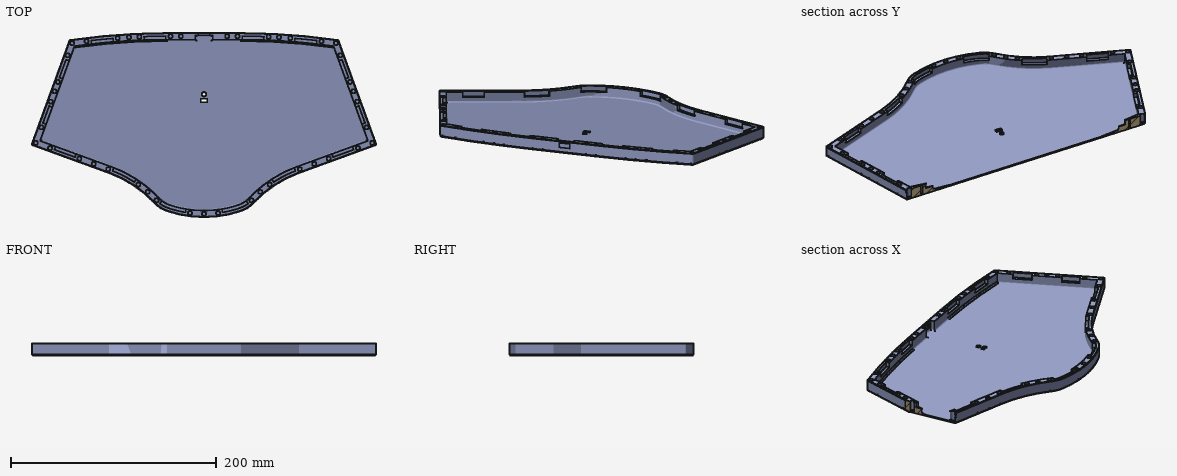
import cadquery as cq
import math

length_x = 334.85
length_y = 179.39
height = 12.26

back_y = length_y / 2
front_y = -length_y / 2
wing_angle = math.radians(20)
corner_radius = 1.5
wing_corner_y = -19.2
back_flat_half = 36.0
back_radius = 645.0
nose_radius = 111.0
nose_half = 36.0
shoulder_radius = 30.0
flank_radius = 114.0

wall_width = 6.5
floor_thickness = 2.0
floor_fillet = 1.5
bottom_chamfer = 1.5
top_chamfer = 0.5
overcut = 1.0

hole_diameter = 4.1
hole_depth = height - floor_thickness
hole_inset = wall_width / 2
pocket_inset = 3.2
pocket_depth = 5.0
pocket_gap = 4.5
back_pocket_holes = [(32.6, 62.9), (84.1, 114.5)]
back_single_holes = [22.5, 73.0]
side_pocket_holes = [(12.6, 40.2), (60.6, 87.2)]
side_single_holes = [49.9]
wing_pocket_holes = [(14.8, 45.1), (75.0, 108.0)]
wing_single_holes = [60.0, 119.6]
nose_pocket_holes = (13.7, 49.2)

notch_width = 16.8
notch_inset = 2.2
recess_width = 11.0
recess_depth = 1.6
recess_bottom = 5.6
recess_top = 10.2

round_opening_y = 30.0
slot_opening_y = 24.0
slot_opening_width = 6.0
slot_opening_height = 3.2

corner_setback = corner_radius * (math.cos(wing_angle) + math.sin(wing_angle) - 1)
wing_corner_x = length_x / 2 + corner_setback


def polar(centre, radius, angle):
    return (centre[0] + radius * math.cos(angle), centre[1] + radius * math.sin(angle))


def line(start, end):
    return cq.Edge.makeLine(cq.Vector(*start), cq.Vector(*end))


def arc(start, middle, end):
    return cq.Edge.makeThreePointArc(cq.Vector(*start), cq.Vector(*middle), cq.Vector(*end))


def half_outline(inset):
    """Edges of the right half of the outline, moved inwards by inset, grouped by wall."""
    side_normal = (math.cos(wing_angle), math.sin(wing_angle))
    wing_normal = (math.sin(wing_angle), -math.cos(wing_angle))
    wing_corner = (
        wing_corner_x - inset * (side_normal[0] + wing_normal[0]),
        wing_corner_y - inset * (side_normal[1] + wing_normal[1]),
    )

    back_centre = (back_flat_half, back_y - back_radius)
    back_r = back_radius - inset
    to_side = (wing_corner[0] - back_centre[0]) * side_normal[0]
    to_side += (wing_corner[1] - back_centre[1]) * side_normal[1]
    back_angle = wing_angle + math.acos(to_side / back_r)
    back_start = (back_flat_half, back_y - inset)
    back_middle = polar(back_centre, back_r, (math.pi / 2 + back_angle) / 2)
    back_corner = polar(back_centre, back_r, back_angle)

    nose_centre = (0, front_y + nose_radius)
    nose_angle = -math.pi / 2 + math.asin(nose_half / nose_radius)
    shoulder_centre = polar(nose_centre, nose_radius - shoulder_radius, nose_angle)

    reach = (shoulder_centre[0] - wing_corner_x) * wing_normal[0]
    reach += (shoulder_centre[1] - wing_corner_y) * wing_normal[1]
    across = flank_radius - reach
    along = math.sqrt((flank_radius + shoulder_radius) ** 2 - across ** 2)
    flank_centre = (
        shoulder_centre[0] + across * wing_normal[0] + along * math.cos(wing_angle),
        shoulder_centre[1] + across * wing_normal[1] + along * math.sin(wing_angle),
    )
    flank_start = wing_angle + math.pi / 2
    flank_end = math.atan2(shoulder_centre[1] - flank_centre[1], shoulder_centre[0] - flank_centre[0])
    flank_end %= 2 * math.pi

    flank_r = flank_radius + inset
    shoulder_r = shoulder_radius - inset
    nose_r = nose_radius - inset
    flank_first = polar(flank_centre, flank_r, flank_start)
    flank_middle = polar(flank_centre, flank_r, (flank_start + flank_end) / 2)
    flank_last = polar(flank_centre, flank_r, flank_end)
    shoulder_middle = polar(shoulder_centre, shoulder_r, (flank_end - math.pi + nose_angle) / 2)
    nose_first = polar(nose_centre, nose_r, nose_angle)
    nose_middle = polar(nose_centre, nose_r, (nose_angle - math.pi / 2) / 2)
    return {
        "back": [
            line((0, back_y - inset), back_start),
            arc(back_start, back_middle, back_corner),
        ],
        "side": [line(back_corner, wing_corner)],
        "front": [
            line(wing_corner, flank_first),
            arc(flank_first, flank_middle, flank_last),
            arc(flank_last, shoulder_middle, nose_first),
            arc(nose_first, nose_middle, (0, front_y + inset)),
        ],
    }


def outline_prism(inset, bottom, top):
    """Solid with the outline moved inwards by inset, between two heights."""
    walls = half_outline(inset)
    right = walls["back"] + walls["side"] + walls["front"]
    left = [edge.mirror("YZ") for edge in right]
    wire = cq.Wire.assembleEdges(right + left[::-1])
    solid = cq.Solid.extrudeLinear(wire, [], cq.Vector(0, 0, top - bottom))
    return cq.Workplane(obj=solid.translate(cq.Vector(0, 0, bottom)))


def make_blank():
    """Solid tray body with rounded vertical corners and chamfered rims."""
    blank = outline_prism(0, 0, height)
    side_edge = half_outline(0)["side"][0]
    for corner in (side_edge.startPoint(), side_edge.endPoint()):
        for x in (corner.x, -corner.x):
            near = cq.selectors.NearestToPointSelector((x, corner.y, height / 2))
            blank = blank.edges("|Z").edges(near).fillet(corner_radius)
    blank = blank.faces("<Z").chamfer(bottom_chamfer)
    return blank.faces(">Z").chamfer(top_chamfer)


def make_cavity():
    """Inside of the tray, including the notch, rounded along the floor."""
    cavity = outline_prism(wall_width, floor_thickness, height + overcut)
    notch_length = 2 * wall_width
    notch = (
        cq.Workplane("XY", origin=(0, back_y - notch_inset - notch_length / 2, floor_thickness))
        .rect(notch_width, notch_length)
        .extrude(height + overcut - floor_thickness)
    )
    return cavity.union(notch).faces("<Z").edges().fillet(floor_fillet)


def make_recess():
    return (
        cq.Workplane("XY", origin=(0, back_y - notch_inset, recess_bottom))
        .rect(recess_width, 2 * recess_depth)
        .extrude(recess_top - recess_bottom)
    )


def make_floor_openings():
    round_opening = (
        cq.Workplane("XY")
        .center(0, round_opening_y)
        .circle(hole_diameter / 2)
        .extrude(floor_thickness)
    )
    slot_opening = (
        cq.Workplane("XY")
        .center(0, slot_opening_y)
        .rect(slot_opening_width, slot_opening_height)
        .extrude(floor_thickness)
    )
    return round_opening.add(slot_opening).combine()


hole_paths = {wall: cq.Wire.assembleEdges(edges) for wall, edges in half_outline(hole_inset).items()}
side_length = hole_paths["side"].Length()
front_length = hole_paths["front"].Length()
pocket_zone = outline_prism(pocket_inset, height - pocket_depth, height + overcut)


def station(wall, distance):
    """Point and normal on the hole line of a wall."""
    path = hole_paths[wall]
    fraction = distance / path.Length()
    tangent = path.tangentAt(fraction)
    return path.positionAt(fraction), cq.Vector(tangent.y, -tangent.x)


def make_pocket(wall, first, last):
    """Pocket between two holes, open to the inside of the tray and to the top."""
    start, start_normal = station(wall, first + pocket_gap)
    end, end_normal = station(wall, last - pocket_gap)
    corners = [
        start - start_normal * wall_width,
        start + start_normal * wall_width,
        end + end_normal * wall_width,
        end - end_normal * wall_width,
    ]
    sector = (
        cq.Workplane("XY", origin=(0, 0, height - pocket_depth))
        .polyline([(corner.x, corner.y) for corner in corners])
        .close()
        .extrude(pocket_depth + overcut)
    )
    return sector.intersect(pocket_zone)


def make_holes(stations):
    """Blind rim holes at the given stations and at their mirror images."""
    points = [station(wall, distance)[0] for wall, distance in stations]
    centres = [(point.x, point.y) for point in points]
    centres += [(-point.x, point.y) for point in points if point.x > hole_diameter / 2]
    return (
        cq.Workplane("XY", origin=(0, 0, height - hole_depth))
        .pushPoints(centres)
        .circle(hole_diameter / 2)
        .extrude(hole_depth + overcut)
    )


pocket_pairs = [("back", first, last) for first, last in back_pocket_holes]
pocket_pairs += [("side", first, last) for first, last in side_pocket_holes]
pocket_pairs += [("front", first, last) for first, last in wing_pocket_holes]
nose_near, nose_far = nose_pocket_holes
pocket_pairs.append(("front", front_length - nose_far, front_length - nose_near))

hole_stations = [("back", distance) for distance in back_single_holes]
hole_stations += [("side", distance) for distance in [0, *side_single_holes, side_length]]
hole_stations += [("front", distance) for distance in [*wing_single_holes, front_length]]
for wall, first, last in pocket_pairs:
    hole_stations += [(wall, first), (wall, last)]

result = make_blank().cut(make_cavity())
for wall, first, last in pocket_pairs:
    pocket = make_pocket(wall, first, last)
    result = result.cut(pocket).cut(pocket.mirror("YZ"))
result = result.cut(make_holes(hole_stations))
result = result.cut(make_recess())
result = result.cut(make_floor_openings())